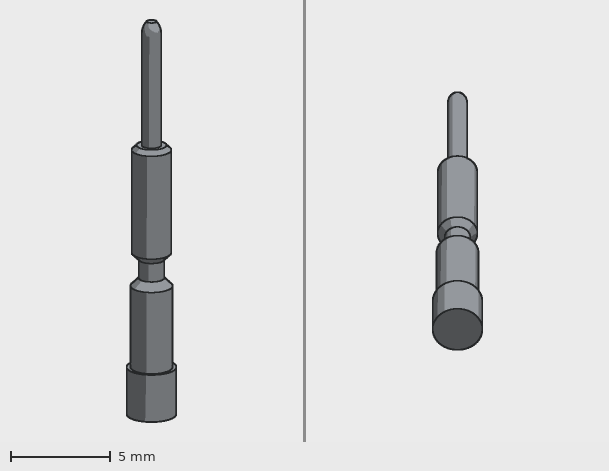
import cadquery as cq
import math

total_height = 20.8
collar_radius = 1.25
collar_height = 2.5

lower_body_radius = 1.06
lower_body_top = 6.8
neck_radius = 0.65
neck_top = 8.2
upper_body_radius = 1.0
upper_body_top = 14.25
upper_body_chamfer = 0.25

pin_radius = 0.5
tip_length = 0.65
tip_flat_radius = 0.25

sight_hole_radius = 0.25
sight_hole_height = 5.82

neck_bottom = lower_body_top + lower_body_radius - neck_radius
upper_body_bottom = neck_top + upper_body_radius - neck_radius

tip_base = total_height - tip_length
tip_inset = pin_radius - tip_flat_radius
tip_arc_radius = (tip_length**2 + tip_inset**2) / (2 * tip_inset)
tip_half_angle = math.asin(tip_length / tip_arc_radius) / 2
tip_arc_middle = (
    pin_radius - tip_arc_radius * (1 - math.cos(tip_half_angle)),
    tip_base + tip_arc_radius * math.sin(tip_half_angle),
)


def turned_body():
    """Revolve the half outline (radius, height) about the Z axis."""
    return (
        cq.Workplane("XZ")
        .moveTo(0, 0)
        .lineTo(collar_radius, 0)
        .lineTo(collar_radius, collar_height)
        .lineTo(lower_body_radius, collar_height)
        .lineTo(lower_body_radius, lower_body_top)
        .lineTo(neck_radius, neck_bottom)
        .lineTo(neck_radius, neck_top)
        .lineTo(upper_body_radius, upper_body_bottom)
        .lineTo(upper_body_radius, upper_body_top - upper_body_chamfer)
        .lineTo(upper_body_radius - upper_body_chamfer, upper_body_top)
        .lineTo(pin_radius, upper_body_top)
        .lineTo(pin_radius, tip_base)
        .threePointArc(tip_arc_middle, (tip_flat_radius, total_height))
        .lineTo(0, total_height)
        .close()
        .revolve(360, (0, 0, 0), (0, 1, 0))
    )


def sight_hole():
    """Radial hole from the -X side of the lower body to the axis."""
    return (
        cq.Workplane("YZ")
        .center(0, sight_hole_height)
        .circle(sight_hole_radius)
        .extrude(-collar_radius)
    )


result = turned_body().cut(sight_hole())